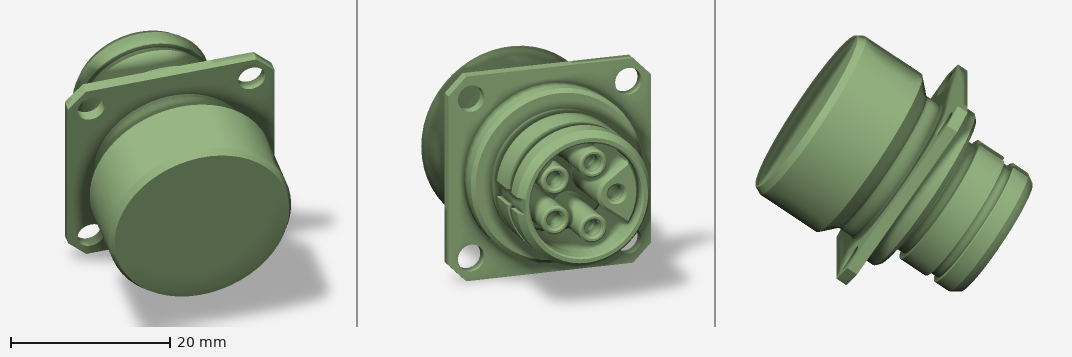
import cadquery as cq
import math

total_length = 28.8
flange_side = 27.0
flange_front = 13.5
flange_thickness = 1.5
flange_back = flange_front + flange_thickness
flange_corner = 2.35
mount_hole_diameter = 3.5
mount_hole_pitch = 21.0

nose_radius = 8.93
nose_chamfer_length = 1.18
nose_face_radius = 8.2
front_groove_start = 3.4
front_groove_end = 4.75
front_groove_radius = 8.27
groove_edge_break = 0.1
rear_groove_start = 8.58
rear_groove_end = 10.0
rear_groove_radius = 8.1
shoulder_front = 10.5
shoulder_radius = 11.45
shoulder_chamfer = 0.5

neck_radius = 9.95
neck_relief_radius = 10.15
neck_relief_end = 15.25
cone_start = 17.3
cone_end = 19.3
shell_radius = 11.92
shell_chamfer_length = 0.92
shell_chamfer_height = 0.52

keyway_width = 2.07
keyway_floor = 8.18

cavity_radius = 7.45
cavity_lip = 0.23
cavity_depth = 10.95
insert_chamfer = 0.37
insert_base = cavity_depth + insert_chamfer

contact_positions = 5
contact_circle_radius = 4.5
contact_radius = 1.87
contact_front = 1.3
contact_front_chamfer = 0.25
contact_base_flare = 0.2

bore_radius = 1.05
bore_depth = 4.32
bore_end = contact_front + bore_depth
mouth_radius = 1.1
mouth_chamfer = 0.25
contact_mouth_depth = 0.55
key_mouth_depth = 0.8
narrow_positions = (1, 4)
narrow_bore_radius = 0.8
narrow_bore_start = 2.3
drill_point_height = 0.63

key_nose_radius = 2.48
key_half_angle = 36.0
key_base_flare = 0.12


def turned(points):
    """Revolve an (x, radius) outline about the X axis."""
    return cq.Workplane("XY").polyline(points).close().revolve(360, (0, 0, 0), (1, 0, 0))


def yz_plane(x):
    """Work plane at station x, with local axes Y and Z, facing +X."""
    return cq.Workplane("YZ", origin=(x, 0, 0))


def shell_body():
    return turned([
        (0, 0),
        (0, nose_face_radius),
        (nose_chamfer_length, nose_radius),
        (front_groove_start - groove_edge_break, nose_radius),
        (front_groove_start, nose_radius - groove_edge_break),
        (front_groove_start, front_groove_radius),
        (front_groove_end, front_groove_radius),
        (front_groove_end, nose_radius),
        (rear_groove_start, nose_radius),
        (rear_groove_start, rear_groove_radius),
        (rear_groove_end, rear_groove_radius),
        (rear_groove_end, nose_radius),
        (shoulder_front, nose_radius),
        (shoulder_front, shoulder_radius - shoulder_chamfer),
        (shoulder_front + shoulder_chamfer, shoulder_radius),
        (flange_back, shoulder_radius),
        (flange_back, neck_relief_radius),
        (neck_relief_end, neck_radius),
        (cone_start, neck_radius),
        (cone_end, shell_radius),
        (total_length - shell_chamfer_length, shell_radius),
        (total_length, shell_radius - shell_chamfer_height),
        (total_length, 0),
    ])


def flange():
    plate = yz_plane(flange_front).rect(flange_side, flange_side).extrude(flange_thickness)
    plate = plate.edges("|X").chamfer(flange_corner)
    return (
        plate.faces("<X").workplane(centerOption="CenterOfBoundBox")
        .rect(mount_hole_pitch, mount_hole_pitch, forConstruction=True)
        .vertices().hole(mount_hole_diameter)
    )


def keyway():
    return cq.Workplane("XY").box(
        rear_groove_start, nose_radius, keyway_width, centered=(False, False, True)
    ).translate((0, keyway_floor, 0))


def cavity():
    """Bore with a bevelled mouth and a bevelled insert edge at its floor."""
    return turned([
        (0, 0),
        (0, cavity_radius + cavity_lip),
        (cavity_lip, cavity_radius),
        (insert_base, cavity_radius),
        (cavity_depth, cavity_radius - insert_chamfer),
        (cavity_depth, 0),
    ])


def key_wedge(front, tip_radius, edge_chamfer):
    """Wedge with a rounded nose pointing at the axis, bevelled along its front edge."""
    angle = math.radians(key_half_angle)
    side_y = -contact_circle_radius + tip_radius * math.sin(angle)
    side_z = tip_radius * math.cos(angle)
    far_y = side_y - cavity_radius * math.cos(angle)
    far_z = side_z + cavity_radius * math.sin(angle)
    length = insert_base - front
    wedge = (
        yz_plane(front)
        .moveTo(far_y, far_z)
        .lineTo(side_y, side_z)
        .threePointArc((tip_radius - contact_circle_radius, 0), (side_y, -side_z))
        .lineTo(far_y, -far_z)
        .close().extrude(length)
    )
    bore_fill = yz_plane(front).circle(cavity_radius).extrude(length)
    return wedge.intersect(bore_fill).faces("<X").edges().chamfer(edge_chamfer)


def key_block():
    """Full-height wedge with a slightly wider, bevelled foot on the cavity floor."""
    block = key_wedge(contact_front, key_nose_radius, insert_chamfer)
    foot = key_wedge(cavity_depth - key_base_flare, key_nose_radius + key_base_flare, key_base_flare)
    return block.union(foot)


def contact_body():
    """Solid contact on the X axis, bevelled at its front and flared at its base."""
    base_radius = contact_radius + contact_base_flare
    return turned([
        (contact_front, 0),
        (contact_front, contact_radius - contact_front_chamfer),
        (contact_front + contact_front_chamfer, contact_radius),
        (cavity_depth - contact_base_flare, contact_radius),
        (cavity_depth, base_radius),
        (insert_base, base_radius),
        (insert_base, 0),
    ])


def bore(mouth_depth, end_points):
    """Bore on the X axis with a bevelled, slightly wider mouth; end_points shape its inner end."""
    mouth_end = contact_front + mouth_depth
    return turned([
        (contact_front, 0),
        (contact_front, mouth_radius + mouth_chamfer),
        (contact_front + mouth_chamfer, mouth_radius),
        (mouth_end, mouth_radius),
        (mouth_end, bore_radius),
        *end_points,
    ])


def flat_bore():
    """Bore with a flat end."""
    return bore(contact_mouth_depth, [(bore_end, bore_radius), (bore_end, 0)])


def narrow_bore():
    """Bore that tapers to a smaller size part way in."""
    taper_start = contact_front + narrow_bore_start
    taper_end = taper_start + bore_radius - narrow_bore_radius
    return bore(contact_mouth_depth, [
        (taper_start, bore_radius),
        (taper_end, narrow_bore_radius),
        (bore_end, narrow_bore_radius),
        (bore_end, 0),
    ])


def drilled_bore():
    """Bore that ends in a cone."""
    return bore(key_mouth_depth, [(bore_end, bore_radius), (bore_end + drill_point_height, 0)])


def at_position(solid, index):
    """Move a solid from the axis to a place on the contact circle; 0 is the key place."""
    angle = math.pi + 2 * math.pi * index / contact_positions
    return solid.translate((
        0,
        contact_circle_radius * math.cos(angle),
        contact_circle_radius * math.sin(angle),
    ))


result = shell_body().union(flange()).cut(keyway()).cut(cavity())
result = result.union(key_block()).cut(at_position(drilled_bore(), 0))
for position in range(1, contact_positions):
    contact_bore = narrow_bore() if position in narrow_positions else flat_bore()
    contact = contact_body().cut(contact_bore)
    result = result.union(at_position(contact, position))